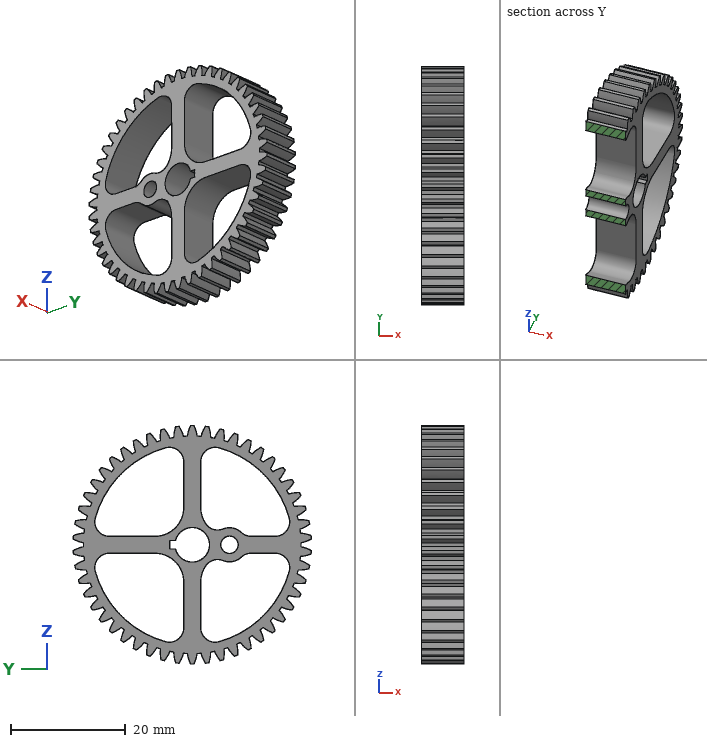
import cadquery as cq
import math


tooth_count = 50
outer_diameter = 41.6
module = outer_diameter / (tooth_count + 2)
pressure_angle = math.radians(20)
dedendum_factor = 1.25
face_width = 7.5
flank_points = 6

tip_radius = outer_diameter / 2
pitch_radius = module * tooth_count / 2
root_radius = pitch_radius - dedendum_factor * module
base_radius = pitch_radius * math.cos(pressure_angle)

bore_radius = 3.0
keyway_width = 1.4
keyway_reach = 3.9
crank_hole_radius = bore_radius / 2
crank_hole_offset = 6.5
crank_boss_radius = 2 * crank_hole_radius

rim_inner_radius = 17.5
spoke_width = 3.0
hub_corner_radius = 5.0
corner_radius = hub_corner_radius / 2


def polar(radius, angle):
    return (radius * math.cos(angle), radius * math.sin(angle))


def end_face():
    """Sketch plane on the -X face of the gear, with Y and Z as its axes."""
    return cq.Workplane("YZ", origin=(-face_width / 2, 0, 0))


def tooth_half_angle(radius):
    """Half the angle a tooth spans at a radius, from its involute flanks."""
    pitch_involute = math.tan(pressure_angle) - pressure_angle
    local_angle = math.acos(base_radius / radius)
    local_involute = math.tan(local_angle) - local_angle
    return math.pi / (2 * tooth_count) + pitch_involute - local_involute


def gear_blank():
    pitch_angle = 2 * math.pi / tooth_count
    root_half = tooth_half_angle(root_radius)
    tip_half = tooth_half_angle(tip_radius)
    radius_step = (tip_radius - root_radius) / (flank_points - 1)
    flank_radii = [root_radius + i * radius_step for i in range(flank_points)]

    first_angle = math.pi / 2
    outline = end_face().moveTo(*polar(root_radius, first_angle - root_half))
    for tooth in range(tooth_count):
        middle = first_angle + tooth * pitch_angle
        rising = [polar(r, middle - tooth_half_angle(r)) for r in flank_radii]
        falling = [polar(r, middle + tooth_half_angle(r)) for r in reversed(flank_radii)]
        next_root = polar(root_radius, middle + pitch_angle - root_half)
        gap_middle = polar(root_radius, middle + pitch_angle / 2)
        outline = outline.spline(rising[1:], includeCurrent=True)
        outline = outline.threePointArc(polar(tip_radius, middle), polar(tip_radius, middle + tip_half))
        outline = outline.spline(falling[1:], includeCurrent=True)
        outline = outline.threePointArc(gap_middle, next_root)
    return outline.close().extrude(face_width)


def plain_window():
    """Window in the +Y +Z quarter, with a rounded hub corner and rim corners."""
    spoke_edge = spoke_width / 2
    quarter = (
        end_face()
        .rect(rim_inner_radius, rim_inner_radius, centered=False)
        .extrude(face_width)
        .translate((0, spoke_edge, spoke_edge))
    )
    disk = end_face().circle(rim_inner_radius).extrude(face_width)
    hub_corner = cq.selectors.NearestToPointSelector((0, spoke_edge, spoke_edge))
    window = quarter.intersect(disk)
    window = window.edges(cq.StringSyntaxSelector("|X") - hub_corner).fillet(corner_radius)
    return window.edges("|X").edges(hub_corner).fillet(hub_corner_radius)


def boss_window():
    """The same window with the crank boss taken out and blended in."""
    boss = (
        end_face()
        .center(crank_hole_offset, 0)
        .circle(crank_boss_radius)
        .extrude(face_width)
    )
    margin = crank_boss_radius + spoke_width / 2
    around_boss = cq.selectors.BoxSelector(
        (-face_width, crank_hole_offset - margin, -margin),
        (face_width, crank_hole_offset + margin, margin),
    )
    return plain_window().cut(boss).edges("|X").edges(around_boss).fillet(corner_radius)


def hub_holes():
    bore = end_face().circle(bore_radius).extrude(face_width)
    keyway = cq.Workplane("XY").box(face_width, keyway_reach, keyway_width, centered=(True, False, True))
    crank_hole = (
        end_face()
        .center(-crank_hole_offset, 0)
        .circle(crank_hole_radius)
        .extrude(face_width)
    )
    return bore.union(keyway).union(crank_hole)


upper_windows = plain_window().union(boss_window().mirror("XZ"))
lower_windows = upper_windows.mirror("XY")

result = gear_blank().cut(upper_windows).cut(lower_windows).cut(hub_holes())